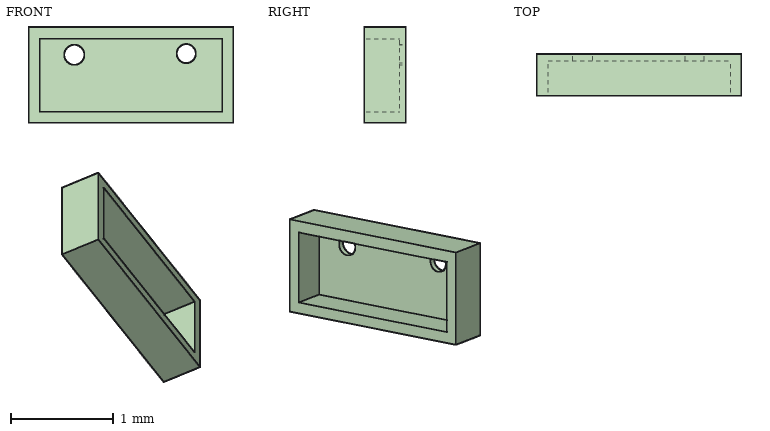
import cadquery as cq

length = 2.0
depth = 0.41
height = 0.94

side_wall = 0.108
top_wall = 0.115
bottom_wall = 0.112
back_wall = 0.068
pocket_length = length - 2 * side_wall
pocket_height = height - top_wall - bottom_wall
pocket_depth = depth - back_wall

left_hole = (0.445, 0.275, 0.195)
right_hole = (1.54, 0.262, 0.185)


def make_pocket():
    """Rectangular recess reaching from the front face to the back wall."""
    return cq.Workplane("XY").box(pocket_length, pocket_depth, pocket_height, centered=False).translate(
        (side_wall, 0, bottom_wall)
    )


def make_hole(from_left, from_top, diameter):
    """Cylinder along Y that passes through the whole depth."""
    return (
        cq.Workplane("XZ")
        .center(from_left, height - from_top)
        .circle(diameter / 2)
        .extrude(-depth)
    )


result = cq.Workplane("XY").box(length, depth, height, centered=False).cut(make_pocket())
for hole in (left_hole, right_hole):
    result = result.cut(make_hole(*hole))